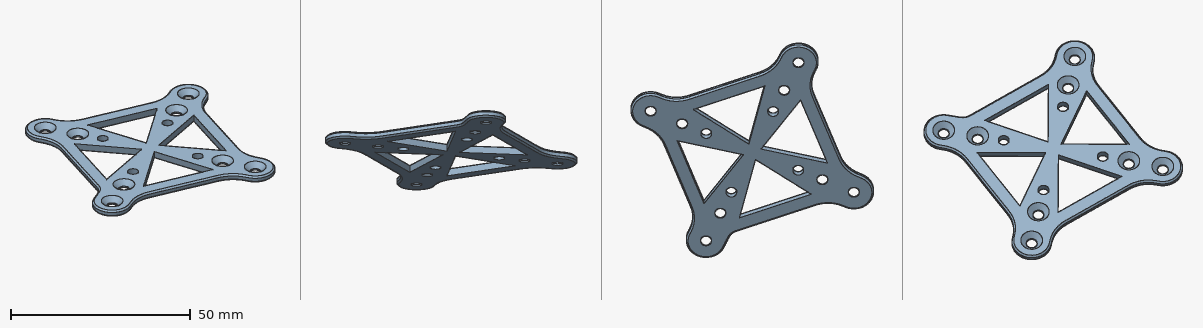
import cadquery as cq
import math

overall_size = 54.95
thickness = 2.0
lobe_radius = 5.5
frame_half = 22.3
edge_chamfer = 0.5
neck_radius = 9.5
tight_neck_radius = 3.5

hole_diameter = 3.0
countersink_diameter = 6.05
countersink_angle = 90.0
inner_screw_offset = 15.15
plain_hole_offset = 9.95

window_base = 18.35
window_apex = 2.65
window_half_width = 10.65

lobe_offset = overall_size / 2 - lobe_radius
cos45 = math.sqrt(0.5)


def square_pattern(offset):
    """Four points, one on each diagonal."""
    return [(sx * offset, sy * offset) for sx in (-1, 1) for sy in (-1, 1)]


def rotate_quarters(point, quarters):
    """Turn a point about the origin by a number of quarter turns."""
    x, y = point
    for _ in range(quarters):
        x, y = -y, x
    return (x, y)


def neck_points(radius):
    """Blend on the -Y side at the +X end: start, middle and end of the arc, then the lobe tangent point."""
    lobe_x = lobe_offset - lobe_radius * cos45
    lobe_y = -lobe_offset - lobe_radius * cos45
    corner_x = lobe_x + lobe_y + frame_half
    start_x = corner_x - radius * math.tan(math.pi / 8)
    center_y = -frame_half - radius
    middle_angle = 3 * math.pi / 8
    middle = (start_x + radius * math.cos(middle_angle), center_y + radius * math.sin(middle_angle))
    end = (start_x + radius * cos45, center_y + radius * cos45)
    return [(start_x, -frame_half), middle, end, (lobe_x, lobe_y)]


def make_plate():
    """Square frame with a round lobe on each corner and both rims chamfered."""
    lobe_far = lobe_offset + lobe_radius * cos45
    left_start = neck_points(neck_radius)[0]
    outline = cq.Workplane("XY").moveTo(-left_start[0], left_start[1])
    for side in range(4):
        radius = tight_neck_radius if side == 0 else neck_radius
        start, middle, end, lobe_in = [rotate_quarters(p, side) for p in neck_points(radius)]
        exit_points = [rotate_quarters((-x, y), side + 1) for x, y in neck_points(neck_radius)]
        next_start, next_middle, next_end, lobe_out = exit_points
        lobe_tip = rotate_quarters((lobe_far, -lobe_far), side)
        outline = outline.lineTo(*start).threePointArc(middle, end).lineTo(*lobe_in)
        outline = outline.threePointArc(lobe_tip, lobe_out)
        outline = outline.lineTo(*next_end).threePointArc(next_middle, next_start)
    plate = outline.close().extrude(thickness)
    return plate.faces("<Z or >Z").chamfer(edge_chamfer)


def cut_windows(plate):
    """Four triangular windows pointing at the centre, leaving a diagonal cross."""
    triangle = [
        (-window_half_width, -window_base),
        (window_half_width, -window_base),
        (0, -window_apex),
    ]
    for side in range(4):
        corners = [rotate_quarters(p, side) for p in triangle]
        plate = plate.cut(cq.Workplane("XY").polyline(corners).close().extrude(thickness))
    return plate


def cut_holes(plate):
    """Two rings of countersunk screw holes and one ring of plain holes."""
    top = cq.Workplane("XY", origin=(0, 0, thickness))
    screw_points = square_pattern(lobe_offset) + square_pattern(inner_screw_offset)
    plate = plate.copyWorkplane(top).pushPoints(screw_points)
    plate = plate.cskHole(hole_diameter, countersink_diameter, countersink_angle)
    plate = plate.copyWorkplane(top).pushPoints(square_pattern(plain_hole_offset))
    return plate.hole(hole_diameter)


result = cut_holes(cut_windows(make_plate()))